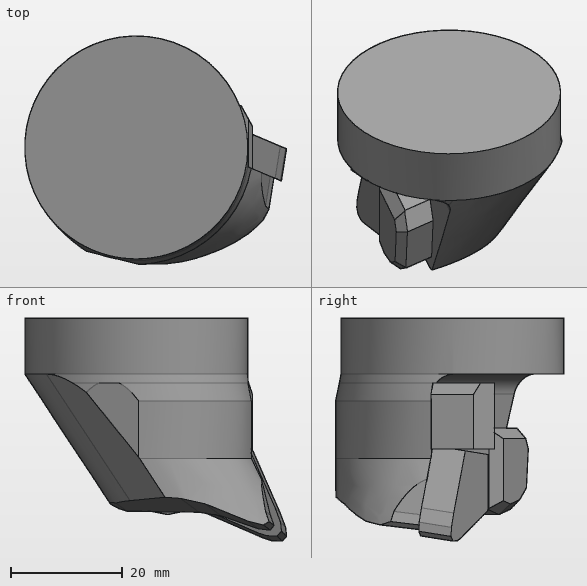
import cadquery as cq
import math

flange_diameter = 40.0
flange_radius = flange_diameter / 2
flange_height = 10.05

neck_radius = 20.95
lip_radius = 20.3
lip_z = -11.6
neck_z = -14.85
flare_z = -25.15
flare_slope = 0.53
flat_angle = 14.0
flat_start_x = 0.45

flank_slope = 0.66
flank_tangent_angle = 36.5

seat_angle = 23.0
seat_x = 20.7
seat_y = -3.75
seat_fillet = 3.52
insert_thickness = 5.7
lug_thickness = 7.15
lug_chamfer = 1.9

head_clearance_x = 0.16
head_clearance_z = -0.12
insert_clearance_x = 0.16
insert_clearance_z = -0.16

reach = 70.5
floor_z = -42.3

head_outline_y = -5.65
head_outline = [
    (-42.3, -4.7), (-9.4, -30.1), (-5.88, -32.45), (-3.5, -33.28), (10.35, -34.1), (14.55, -34.95),
    (21.6, -37.6), (23.95, -37.98), (24.68, -37.15), (23.95, -35.25), (21.4, -25.4), (21.6, -4.7),
]
insert_outline_y = 0.38
insert_stop_x = 10.35
insert_top_z = -23.5
insert_outline = [
    (insert_stop_x, insert_top_z), (insert_stop_x, -33.5), (22.55, -39.25), (24.2, -39.85), (26.23, -40.05),
    (27.05, -39.25), (26.9, -37.6), (25.85, -34.95), (20.65, insert_top_z),
]
lug_outline = [
    (-3.75, -23.05), (-1.9, -19.75), (insert_stop_x, -19.75),
    (insert_stop_x, -34.3), (5.65, -35.25), (0.95, -34.3), (-2.8, -31.5),
]

pad_right_x = 20.85
pad_chamfer_width = 0.7
pad_chamfer_drop = 2.1
pad_outline = [(14.1, -5.65), (pad_right_x, -5.65), (pad_right_x, 3.75), (18.8, 7.5), (14.1, 7.5)]


def sheared_prism(outline, outline_y, clearance_x, clearance_z):
    """Prism along Y whose side faces drift in X and Z as they run along Y."""
    wires = []
    for y in (-reach / 2, reach / 2):
        run = y - outline_y
        corners = [cq.Vector(x + clearance_x * run, y, z + clearance_z * run) for x, z in outline]
        wires.append(cq.Wire.makePolygon(corners, close=True))
    return cq.Workplane(obj=cq.Solid.makeLoft(wires, True))


def behind_seat(depth, top_z, fillet=0.0):
    """Block standing on the rear of the seat plane, its top inner edge optionally rounded."""
    block = cq.Workplane("XY").box(2 * reach, depth, top_z + reach, centered=(True, False, False))
    block = block.translate((0, 0, -reach))
    if fillet:
        block = block.edges("|X and >Z and <Y").fillet(fillet)
    return block.rotate((0, 0, 0), (0, 0, 1), -seat_angle).translate((seat_x, seat_y, 0))


def seat_normal():
    """Direction in which the seat plane faces."""
    angle = math.radians(seat_angle)
    return cq.Vector(math.sin(angle), math.cos(angle), 0)


def neck_stock():
    """Round neck with its lip, running into a flare that leans towards +X."""
    neck = (
        cq.Workplane("XZ")
        .polyline([
            (0, -flange_height), (flange_radius, -flange_height), (lip_radius, lip_z),
            (neck_radius, neck_z), (neck_radius, flare_z), (0, flare_z),
        ])
        .close()
        .revolve(360, (0, 0), (0, 1))
    )
    flare_shift = flare_slope * (flare_z - floor_z)
    rims = [
        cq.Wire.makeCircle(neck_radius, cq.Vector(x, 0, z), cq.Vector(0, 0, 1))
        for x, z in ((0, flare_z), (flare_shift, floor_z))
    ]
    flare = cq.Workplane(obj=cq.Solid.makeLoft(rims, True))
    flat = (
        cq.Workplane("XY")
        .box(reach, reach, lip_z - flare_z, centered=(False, False, False))
        .translate((-reach, -reach, flare_z))
        .rotate((0, 0, 0), (0, 0, 1), -flat_angle)
        .translate((flat_start_x, -neck_radius, 0))
    )
    return neck.cut(flat).union(flare)


def flank_stock():
    """Everything to the right of the sloping left flank."""
    angle = math.radians(flank_tangent_angle)
    tangent_x = -flange_radius * math.cos(angle)
    tangent_y = flange_radius * math.sin(angle)
    front_y = -reach / 2
    front_x = tangent_x + (-tangent_y - front_y) * math.tan(angle)
    wires = []
    for z in (-flange_height, floor_z):
        shift = flank_slope * (-flange_height - z)
        outline = (
            cq.Workplane("XY", origin=(shift, 0, z))
            .moveTo(tangent_x, -tangent_y)
            .threePointArc((-flange_radius, 0), (tangent_x, tangent_y))
            .lineTo(front_x, -front_y)
            .lineTo(reach, -front_y)
            .lineTo(reach, front_y)
            .lineTo(front_x, front_y)
            .close()
        )
        wires.append(outline.val())
    return cq.Workplane(obj=cq.Solid.makeLoft(wires, True))


def make_head():
    flange = cq.Workplane("XY").circle(flange_radius).extrude(-flange_height)
    nose = neck_stock().intersect(flank_stock())
    nose = nose.intersect(sheared_prism(head_outline, head_outline_y, head_clearance_x, head_clearance_z))
    nose = nose.cut(behind_seat(reach, -flange_height, seat_fillet))
    lug = sheared_prism(lug_outline, 0, 0, 0).intersect(behind_seat(lug_thickness, 0))
    lug = lug.faces(cq.selectors.DirectionMinMaxSelector(seat_normal(), True)).chamfer(lug_chamfer)
    pad = cq.Workplane("XY", origin=(0, 0, lip_z)).polyline(pad_outline).close()
    pad = pad.extrude(insert_top_z - lip_z)
    pad = pad.edges("|Y and >X and >Z").chamfer(pad_chamfer_drop, pad_chamfer_width)
    pad = pad.intersect(behind_seat(reach, 0))
    return flange.union(nose).union(pad).union(lug)


def make_insert():
    plate = sheared_prism(insert_outline, insert_outline_y, insert_clearance_x, insert_clearance_z)
    return plate.intersect(behind_seat(insert_thickness, 0))


head = make_head()
insert = make_insert().cut(head)

result = cq.Compound.makeCompound([head.solids().val(), insert.solids().val()])